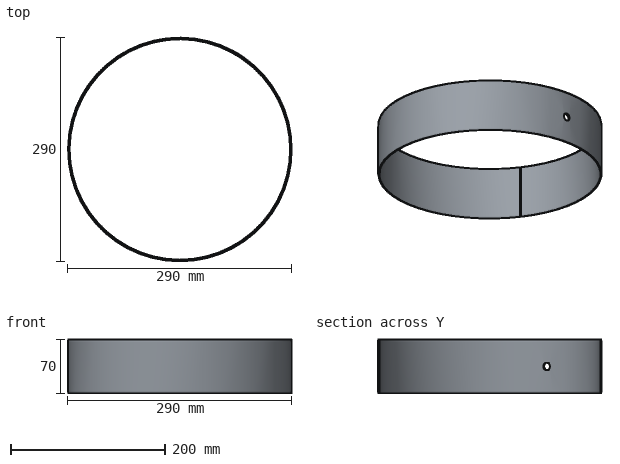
import cadquery as cq

outer_diameter = 290.0
height = 70.0
wall = 2.5

bevel_height = 2.3
bevel_depth = 0.5

split_width = 2.0
split_center_y = 1.2

hole_diameter = 10.0
hole_angle = 59.0

outer_radius = outer_diameter / 2
inner_radius = outer_radius - wall


def make_band():
    """Revolve the wall section about Z, with both rims bevelled inside and outside."""
    rim_outer_radius = outer_radius - bevel_depth
    rim_inner_radius = inner_radius + bevel_depth
    return (
        cq.Workplane("XZ")
        .moveTo(rim_inner_radius, 0)
        .lineTo(rim_outer_radius, 0)
        .lineTo(outer_radius, bevel_height)
        .lineTo(outer_radius, height - bevel_height)
        .lineTo(rim_outer_radius, height)
        .lineTo(rim_inner_radius, height)
        .lineTo(inner_radius, height - bevel_height)
        .lineTo(inner_radius, bevel_height)
        .close()
        .revolve(360, (0, 0, 0), (0, 1, 0))
    )


def make_split():
    """Full-height slab that opens the band on the -X side."""
    return (
        cq.Workplane("XY")
        .center(-outer_radius, split_center_y)
        .rect(outer_radius, split_width)
        .extrude(height)
    )


def make_hole():
    """Cylinder running outward from the axis through one side of the wall."""
    return (
        cq.Workplane("YZ")
        .center(0, height / 2)
        .circle(hole_diameter / 2)
        .extrude(outer_diameter)
        .rotate((0, 0, 0), (0, 0, 1), hole_angle)
    )


result = make_band().cut(make_split()).cut(make_hole())